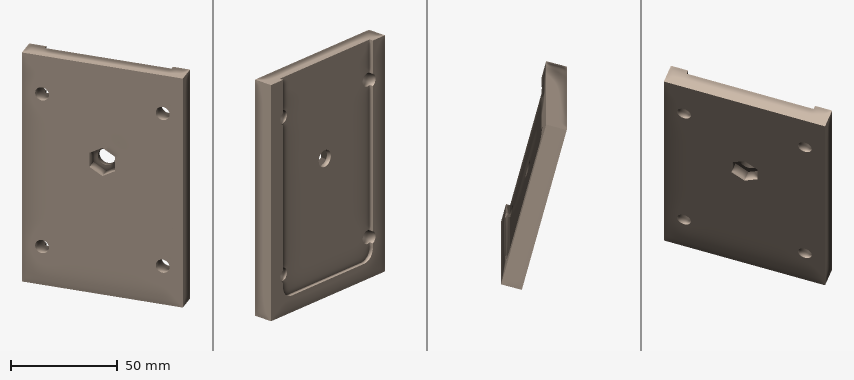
import cadquery as cq

height = 120.0
width = height * 2 / 3
thickness = height / 12

pocket_width = 63.0
pocket_depth = thickness / 5
pocket_corner_radius = height / 20
rim_width = (width - pocket_width) / 2

mount_hole_diameter = 6.8
mount_spacing_x = width * 3 / 4
mount_spacing_z = height * 2 / 3

bolt_hole_diameter = 8.5
bolt_z = 9.5
nut_corner_diameter = 14.8
nut_seat_depth = 5.5


def make_plate():
    return cq.Workplane("XY").box(width, thickness, height, centered=(True, False, True))


def make_pocket():
    """Block for the pocket, with rounded lower corners and the same rim below it as at its sides."""
    pocket_height = height - rim_width
    return (
        cq.Workplane("XY", origin=(0, thickness - pocket_depth, rim_width - height / 2))
        .box(pocket_width, pocket_depth, pocket_height, centered=(True, False, False))
        .edges("|Y").edges("<Z")
        .fillet(pocket_corner_radius)
    )


def make_through_holes(diameter, points):
    """Cylinders along Y at the given (x, z) points, through the whole plate."""
    holes = cq.Workplane("XZ").pushPoints(points).circle(diameter / 2)
    return holes.extrude(-thickness)


def make_nut_seat():
    """Hexagonal prism with two of its corners pointing along Z."""
    return (
        cq.Workplane("XZ", origin=(0, 0, bolt_z))
        .transformed(rotate=(0, 0, 90))
        .polygon(6, nut_corner_diameter)
        .extrude(-nut_seat_depth)
    )


mount_points = [
    (side_x * mount_spacing_x / 2, side_z * mount_spacing_z / 2)
    for side_x in (-1, 1)
    for side_z in (-1, 1)
]

result = (
    make_plate()
    .cut(make_pocket())
    .cut(make_through_holes(mount_hole_diameter, mount_points))
    .cut(make_through_holes(bolt_hole_diameter, [(0, bolt_z)]))
    .cut(make_nut_seat())
)